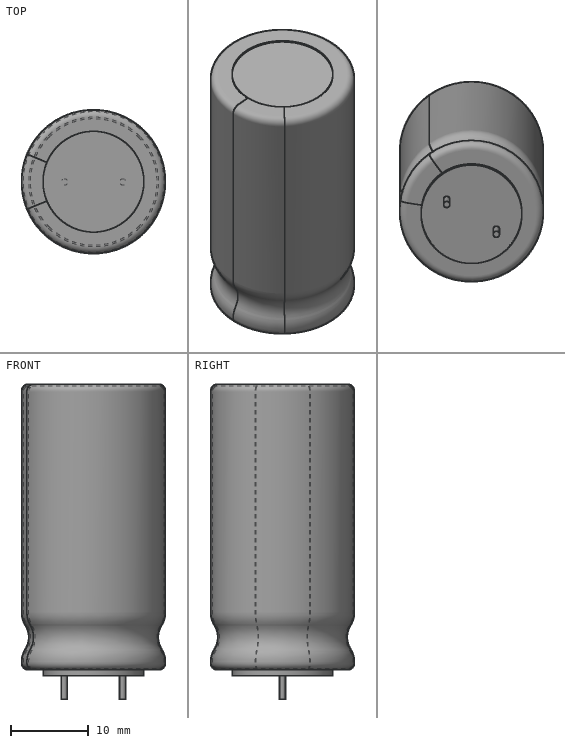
import cadquery as cq
import math


outer_diameter = 18.5
body_height = 36.75
edge_radius = 0.95
sleeve_thickness = 0.2
opening_radius = 6.5

stripe_angle = 45.0
stripe_direction = 180.0

groove_height = 4.2
groove_arc_radius = 2.9
groove_arc_angle = math.radians(30)
flank_rise = 0.25

bung_projection = 0.75
lead_length = 3.0
lead_diameter = 0.8
lead_pitch = 7.5


def body_profile(inset):
    """Half section of the sleeve envelope, moved inward by inset, in the XZ plane."""
    wall = outer_diameter / 2 - inset
    rim_arc = edge_radius - inset
    bottom = inset
    top = body_height - inset
    shoulder_arc = groove_arc_radius - inset
    waist_arc = groove_arc_radius + inset

    waist_end = waist_arc * math.sin(groove_arc_angle)
    shoulder_start = waist_end + flank_rise
    shoulder_end = shoulder_start + shoulder_arc * math.sin(groove_arc_angle)
    shoulder_radius = wall - shoulder_arc * (1 - math.cos(groove_arc_angle))
    waist_end_radius = shoulder_radius - flank_rise * math.tan(groove_arc_angle)
    waist_radius = waist_end_radius - waist_arc * (1 - math.cos(groove_arc_angle))

    half_angle = groove_arc_angle / 2
    shoulder_mid = shoulder_end - shoulder_arc * math.sin(half_angle)
    shoulder_mid_radius = wall - shoulder_arc * (1 - math.cos(half_angle))
    rim_mid = rim_arc * (1 - math.sqrt(0.5))

    return (
        cq.Workplane("XZ")
        .moveTo(0, bottom)
        .lineTo(wall - rim_arc, bottom)
        .threePointArc((wall - rim_mid, bottom + rim_mid), (wall, bottom + rim_arc))
        .lineTo(wall, groove_height - shoulder_end)
        .threePointArc(
            (shoulder_mid_radius, groove_height - shoulder_mid),
            (shoulder_radius, groove_height - shoulder_start),
        )
        .lineTo(waist_end_radius, groove_height - waist_end)
        .threePointArc(
            (waist_radius, groove_height),
            (waist_end_radius, groove_height + waist_end),
        )
        .lineTo(shoulder_radius, groove_height + shoulder_start)
        .threePointArc(
            (shoulder_mid_radius, groove_height + shoulder_mid),
            (wall, groove_height + shoulder_end),
        )
        .lineTo(wall, top - rim_arc)
        .threePointArc((wall - rim_mid, top - rim_mid), (wall - rim_arc, top))
        .lineTo(0, top)
        .close()
    )


def revolve_sector(profile, angle, direction):
    """Revolve a profile through angle, centred on the given direction about Z."""
    sector = profile.revolve(angle, (0, 0, 0), (0, 1, 0))
    return sector.rotate((0, 0, 0), (0, 0, 1), direction - angle / 2)


def make_can():
    return body_profile(sleeve_thickness).revolve(360, (0, 0, 0), (0, 1, 0))


def make_sleeve_sector(angle, direction):
    """Sector of the sleeve: the envelope less the can and the two end openings."""
    openings = cq.Workplane("XY").circle(opening_radius).extrude(body_height)
    envelope = revolve_sector(body_profile(0), angle, direction)
    return envelope.cut(make_can()).cut(openings).solids()


def make_bung():
    """Disc that fills the bottom opening of the sleeve and projects below it."""
    return (
        cq.Workplane("XY")
        .workplane(offset=-bung_projection)
        .circle(opening_radius)
        .extrude(bung_projection + sleeve_thickness)
    )


def make_lead(x):
    return (
        cq.Workplane("XY")
        .workplane(offset=-bung_projection)
        .center(x, 0)
        .circle(lead_diameter / 2)
        .extrude(-lead_length)
    )


can = make_can()
sleeve = make_sleeve_sector(360 - stripe_angle, stripe_direction + 180)
stripe = make_sleeve_sector(stripe_angle, stripe_direction)
bung = make_bung()
leads = [make_lead(side * lead_pitch / 2) for side in (-1, 1)]

result = cq.Compound.makeCompound(
    [can.val(), sleeve.val(), stripe.val(), bung.val(), *[lead.val() for lead in leads]]
)